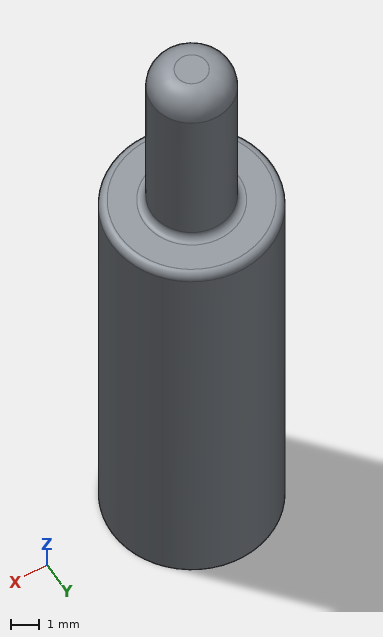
import cadquery as cq

total_height = 26.0
body_diameter = 6.5
body_height = 18.0
pin_diameter = 3.2
tip_radius = 1.0
edge_radius = 0.3

pin_height = total_height - body_height

body = cq.Workplane("XY").circle(body_diameter / 2).extrude(body_height)
body = body.faces(">Z").edges().fillet(edge_radius)

pin = cq.Workplane("XY").workplane(offset=body_height).circle(pin_diameter / 2).extrude(pin_height)
pin = pin.faces(">Z").edges().fillet(tip_radius)

pin_root = cq.selectors.RadiusNthSelector(0)
result = body.union(pin)
shoulder = result.faces(cq.selectors.NearestToPointSelector((0, 0, body_height)))
result = shoulder.edges(pin_root).fillet(edge_radius)